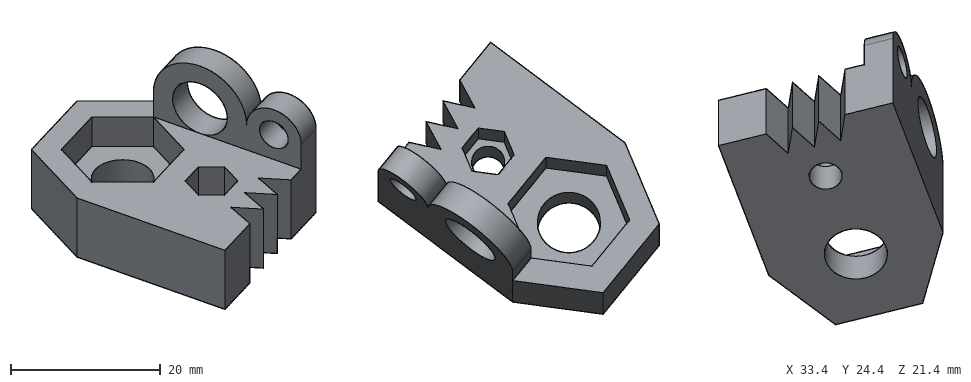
import cadquery as cq
import math

length = 33.37
width = 24.4
base_height = 10.0
shoulder_x = width / 2 * math.cos(math.radians(30))

large_hole_radius = 4.2
small_hole_radius = 2.2
small_pocket_diameter = 7.0
small_hole_x = 24.25
pocket_depth = base_height / 2

lug_thickness = 4.0
large_lug_radius = 14.38 / 2
small_lug_radius = (length - shoulder_x) / 2 - large_lug_radius
lug_axis_z = base_height + large_hole_radius

large_pocket_diameter = width - 2 * lug_thickness

notch_count = 3
notch_pitch = 3.67
notch_depth = 4.0


def make_base():
    half_width = width / 2
    half_end = width / 4
    outline = [
        (0, -half_end),
        (shoulder_x, -half_width),
        (length, -half_width),
        (length, half_width),
        (shoulder_x, half_width),
        (0, half_end),
    ]
    return cq.Workplane("XY").polyline(outline).close().extrude(base_height)


def make_lug(center_x, radius):
    """Round-topped lug rising from the plate."""
    post_height = lug_axis_z - base_height
    back_plane = cq.Workplane("XZ", origin=(center_x, width / 2, base_height))
    return (
        back_plane.moveTo(-radius, 0)
        .lineTo(-radius, post_height)
        .threePointArc((0, post_height + radius), (radius, post_height))
        .lineTo(radius, 0)
        .close()
        .extrude(lug_thickness)
    )


def make_lug_bore(center_x, radius):
    axis_start = cq.Workplane("XZ", origin=(center_x, width / 2, lug_axis_z))
    return axis_start.circle(radius).extrude(lug_thickness)


def make_nut_seat(center_x, hole_radius, pocket_diameter):
    """Through hole topped by a hexagonal pocket with corners toward +/-Y."""
    hole = cq.Workplane("XY").center(center_x, 0).circle(hole_radius).extrude(base_height)
    pocket = (
        cq.Workplane("XY")
        .polygon(6, pocket_diameter)
        .extrude(pocket_depth)
        .rotate((0, 0, 0), (0, 0, 1), 30)
        .translate((center_x, 0, base_height - pocket_depth))
    )
    return hole.union(pocket)


def make_notch(center_y):
    corners = [
        (length, center_y - notch_pitch / 2),
        (length - notch_depth, center_y),
        (length, center_y + notch_pitch / 2),
    ]
    return cq.Workplane("XY").polyline(corners).close().extrude(base_height)


large_lug_x = shoulder_x + large_lug_radius
small_lug_x = length - small_lug_radius

result = make_base()
result = result.union(make_lug(large_lug_x, large_lug_radius))
result = result.union(make_lug(small_lug_x, small_lug_radius))
result = result.cut(make_lug_bore(large_lug_x, large_hole_radius))
result = result.cut(make_lug_bore(small_lug_x, small_hole_radius))
result = result.cut(make_nut_seat(shoulder_x, large_hole_radius, large_pocket_diameter))
result = result.cut(make_nut_seat(small_hole_x, small_hole_radius, small_pocket_diameter))
for index in range(notch_count):
    notch_y = (index - (notch_count - 1) / 2) * notch_pitch
    result = result.cut(make_notch(notch_y))